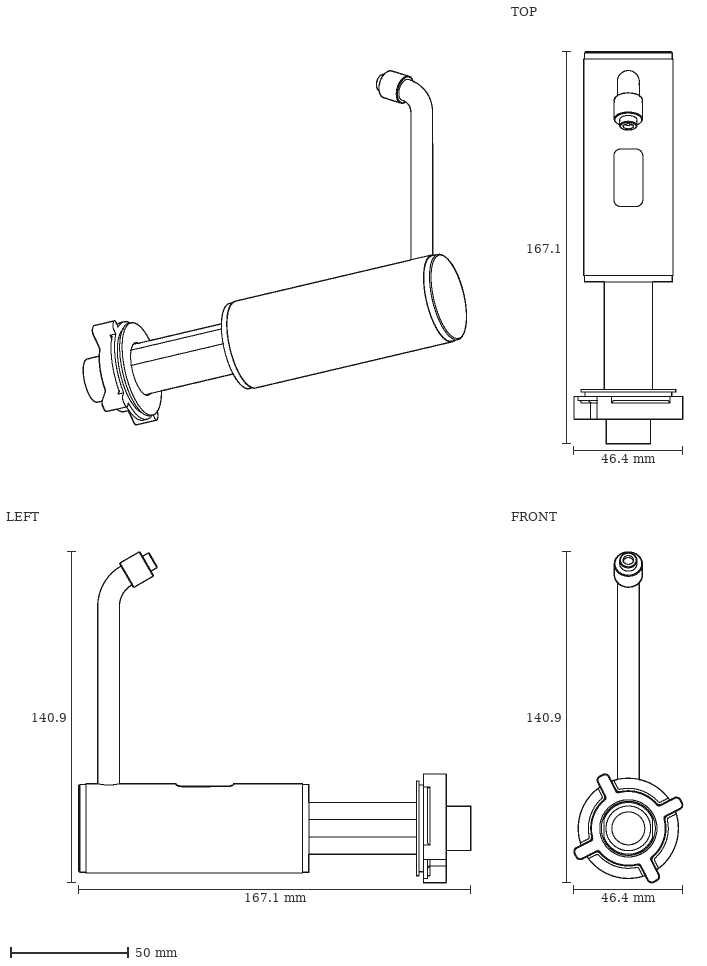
import cadquery as cq
import math


barrel_radius = 19.0
end_ring_radius = 18.7
barrel_back = 167.1
back_ring_length = 3.2
barrel_front = 69.0
front_ring_length = 2.7
back_chamfer = 0.5

window_width = 12.4
window_front = 101.1
window_back = 125.7
window_corner_radius = 3.0
window_ramp_length = 3.0
window_depth = 1.3
window_ramp_rise = 0.5

shank_radius = 11.0
shank_flat_offset = 10.4
inlet_radius = 9.5
inlet_bore_radius = 7.0

spout_radius = 4.7
spout_y = 154.4
spout_bend_start = 94.5
spout_bend_radius = 15.2
spout_bend_angle = 60.0

nozzle_radius = 6.0
nozzle_length = 10.0
nozzle_chamfer = 0.3
tip_radius = 3.7
tip_length = 3.2
tip_chamfer = 0.3
tip_bore_radius = 2.2
tip_bore_depth = 1.7

nut_front = 10.4
nut_flange_front = 18.5
nut_back = 20.2
washer_back = 23.2
washer_rim_length = 1.2
nut_flange_radius = 21.4
washer_neck_radius = 18.5
washer_rim_radius = 20.2
hub_radius = 16.0
nut_bore_radius = 11.5
bore_chamfer = 0.7
wing_count = 4
wing_angle = 27.0
wing_width = 5.5
wing_reach = 25.4
wing_corner_radius = 2.0
wing_root_fillet = 0.8
nut_edge_chamfer = 0.3
nut_base_chamfer = 1.0


def cylinder_along_y(radius, start, end):
    """Solid cylinder on the Y axis between two Y positions."""
    plane = cq.Workplane("XZ", origin=(0, start, 0))
    return plane.circle(radius).extrude(start - end)


def make_barrel():
    """Barrel with a slightly smaller ring at each end."""
    back_ring_start = barrel_back - back_ring_length
    front_ring_end = barrel_front + front_ring_length
    rings = cylinder_along_y(end_ring_radius, barrel_front, barrel_back)
    rings = rings.faces(">Y").chamfer(back_chamfer)
    return rings.union(cylinder_along_y(barrel_radius, front_ring_end, back_ring_start))


def make_window_cutter():
    """Round-cornered window with a flat floor that curves up at both ends."""
    floor_z = barrel_radius - window_depth
    ramp_top_z = floor_z + window_ramp_rise
    ramp_radius = (window_ramp_length**2 + window_ramp_rise**2) / (2 * window_ramp_rise)
    floor_front = window_front + window_ramp_length
    floor_back = window_back - window_ramp_length
    profile = (
        cq.Workplane("YZ", origin=(-window_width / 2, 0, 0))
        .moveTo(floor_front, floor_z)
        .lineTo(floor_back, floor_z)
        .radiusArc((window_back, ramp_top_z), -ramp_radius)
        .lineTo(window_back, barrel_radius)
        .lineTo(window_front, barrel_radius)
        .lineTo(window_front, ramp_top_z)
        .radiusArc((floor_front, floor_z), -ramp_radius)
        .close()
        .extrude(window_width)
    )
    outline = (
        cq.Workplane("XY", origin=(0, (window_front + window_back) / 2, 0))
        .rect(window_width, window_back - window_front)
        .extrude(2 * barrel_radius)
        .edges("|Z")
        .fillet(window_corner_radius)
    )
    return profile.intersect(outline)


def make_shank():
    """Shank with two side flats, stepping down to the inlet tube."""
    flats = cq.Workplane("XY").box(
        2 * shank_flat_offset, 2 * barrel_back, 2 * barrel_radius
    )
    shank = cylinder_along_y(shank_radius, nut_front, barrel_front).intersect(flats)
    return shank.union(cylinder_along_y(inlet_radius, 0, barrel_front))


def make_spout():
    """Upright tube that bends forward and carries the nozzle."""
    bend = math.radians(spout_bend_angle)
    bend_end_y = spout_y - spout_bend_radius * (1 - math.cos(bend))
    bend_end_z = spout_bend_start + spout_bend_radius * math.sin(bend)
    path = (
        cq.Workplane("YZ")
        .moveTo(spout_y, 0)
        .lineTo(spout_y, spout_bend_start)
        .tangentArcPoint((bend_end_y, bend_end_z), relative=False)
    )
    tube = cq.Workplane("XY", origin=(0, spout_y, 0)).circle(spout_radius).sweep(path)

    nozzle_plane = cq.Plane(
        origin=(0, bend_end_y, bend_end_z),
        xDir=(1, 0, 0),
        normal=(0, -math.sin(bend), math.cos(bend)),
    )
    nozzle = cq.Workplane(nozzle_plane).circle(nozzle_radius).extrude(nozzle_length)
    nozzle = nozzle.edges().chamfer(nozzle_chamfer)
    tip_end = nozzle_length + tip_length
    tip = (
        cq.Workplane(nozzle_plane)
        .circle(tip_radius)
        .extrude(tip_end)
        .edges()
        .chamfer(tip_chamfer)
    )
    tip_bore = (
        cq.Workplane(nozzle_plane)
        .workplane(offset=tip_end - tip_bore_depth)
        .circle(tip_bore_radius)
        .extrude(tip_bore_depth)
    )
    return tube.union(nozzle).union(tip).cut(tip_bore)


def make_faucet():
    """Barrel, shank and spout as one solid, with the inlet bored up to the barrel."""
    faucet = make_barrel().cut(make_window_cutter())
    faucet = faucet.union(make_shank()).union(make_spout())
    return faucet.cut(cylinder_along_y(inlet_bore_radius, 0, barrel_front))


def make_wing(growth, start, end):
    """Straight wing along +X with rounded outer corners, widened all round by growth."""
    reach = wing_reach + growth
    return (
        cq.Workplane("XZ", origin=(reach / 2, start, 0))
        .rect(reach, wing_width + 2 * growth)
        .extrude(start - end)
        .edges("|Y and >X")
        .fillet(wing_corner_radius + growth)
    )


def make_nut_star(growth, start, end):
    """Hub with its wings, widened all round by growth and filleted where they meet."""
    hub_reach = hub_radius + growth
    star = cylinder_along_y(hub_reach, start, end)
    wing = make_wing(growth, start, end)
    for index in range(wing_count):
        turn = wing_angle + index * 360 / wing_count
        star = star.union(wing.rotate((0, 0, 0), (0, 1, 0), -turn))
    hub_zone = cq.selectors.BoxSelector(
        (-hub_reach, start, -hub_reach), (hub_reach, end, hub_reach)
    )
    return star.edges("|Y").edges(hub_zone).fillet(wing_root_fillet)


def make_wing_nut():
    """Four-winged nut with a flange and a stepped washer face behind it."""
    nut = make_nut_star(0, nut_front, nut_back)
    nut = nut.faces("<Y").edges().chamfer(nut_edge_chamfer)

    flange = cylinder_along_y(nut_flange_radius, nut_flange_front, nut_back)
    base = make_nut_star(nut_base_chamfer, nut_flange_front - nut_base_chamfer, nut_back)
    base = base.faces("<Y").edges().chamfer(nut_base_chamfer)
    base = base.intersect(cylinder_along_y(nut_flange_radius, nut_front, nut_back))
    nut = nut.union(flange).union(base)

    washer_rim_front = washer_back - washer_rim_length
    nut = nut.union(cylinder_along_y(washer_neck_radius, nut_back, washer_rim_front))
    nut = nut.union(cylinder_along_y(washer_rim_radius, washer_rim_front, washer_back))
    countersink = cylinder_along_y(
        nut_bore_radius + bore_chamfer, nut_front - bore_chamfer, nut_front + bore_chamfer
    )
    countersink = countersink.faces(">Y").chamfer(bore_chamfer)
    nut = nut.cut(cylinder_along_y(nut_bore_radius, nut_front, washer_back))
    return nut.cut(countersink)


faucet = make_faucet()
wing_nut = make_wing_nut()
result = cq.Compound.makeCompound([faucet.val(), wing_nut.val()])